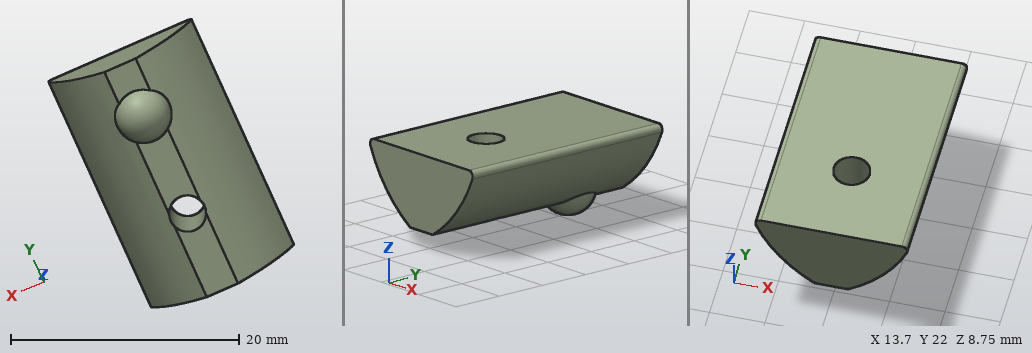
import cadquery as cq
import math

length = 22.0
width = 13.7
body_height = 7.0
flat_width = 3.0
edge_radius = 0.5
edge_sweep = math.radians(-25)
flank_bulge = 0.64

hole_diameter = 3.23
hole_from_front = 7.5

ball_diameter = 5.0
ball_from_back = 5.0
overall_height = 8.75


def make_body():
    edge_center_x = width / 2 - edge_radius
    middle_angle = math.radians(45)
    edge_middle = (
        edge_center_x + edge_radius * math.cos(middle_angle),
        -edge_radius + edge_radius * math.sin(middle_angle),
    )
    flank_top = (
        edge_center_x + edge_radius * math.cos(edge_sweep),
        -edge_radius + edge_radius * math.sin(edge_sweep),
    )
    flank_bottom = (flat_width / 2, -body_height)

    chord_x = flank_top[0] - flank_bottom[0]
    chord_z = flank_top[1] - flank_bottom[1]
    chord = math.hypot(chord_x, chord_z)
    flank_middle = (
        (flank_top[0] + flank_bottom[0]) / 2 + flank_bulge * chord_z / chord,
        (flank_top[1] + flank_bottom[1]) / 2 - flank_bulge * chord_x / chord,
    )

    right_half = (
        cq.Workplane("XZ")
        .lineTo(edge_center_x, 0)
        .threePointArc(edge_middle, flank_top)
        .threePointArc(flank_middle, flank_bottom)
        .lineTo(0, -body_height)
        .close()
        .extrude(length / 2, both=True)
    )
    return right_half.union(right_half.mirror("YZ")).clean()


def make_hole():
    return (
        cq.Workplane("XY")
        .center(0, -length / 2 + hole_from_front)
        .circle(hole_diameter / 2)
        .extrude(-body_height)
    )


def make_ball():
    ball_radius = ball_diameter / 2
    center = (0, length / 2 - ball_from_back, ball_radius - overall_height)
    return cq.Workplane("XY").sphere(ball_radius).translate(center)


result = make_body().cut(make_hole()).union(make_ball())